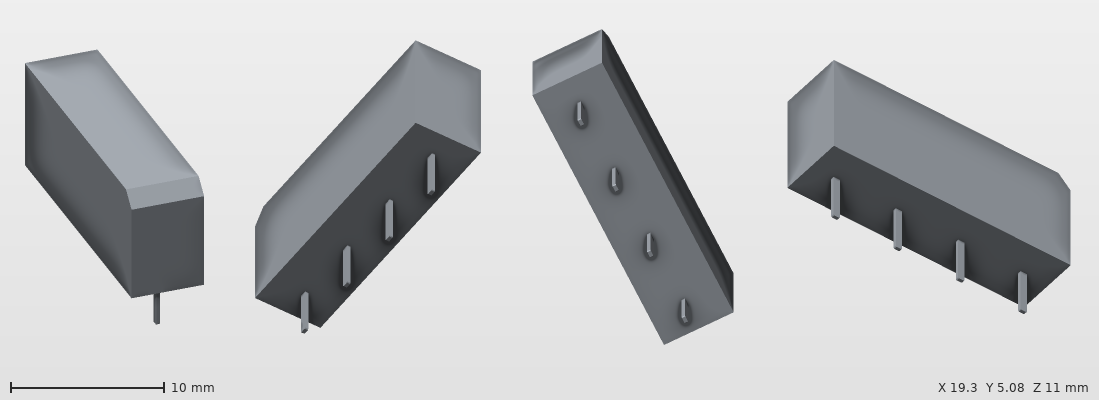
import cadquery as cq

body_length = 19.3
body_width = 5.08
body_height = 7.6
body_bevel = 1.0

overall_height = 10.98
pin_length = overall_height - body_height
pin_count = 4
pin_pitch = 5.08
pin_width = 0.51
pin_thickness = 0.25
pin_tip_chamfer = 0.06


def make_body():
    """Block standing on Z = 0, bevelled along the top edge at its +X end."""
    block = cq.Workplane("XY").box(
        body_length, body_width, body_height, centered=(True, True, False)
    )
    return block.faces(">X").edges(">Z").chamfer(body_bevel)


def make_pin(x_position):
    """Flat pin hanging from the body, with the tip edges at its two narrow sides chamfered."""
    pin = (
        cq.Workplane("XY")
        .center(x_position, 0)
        .rect(pin_width, pin_thickness)
        .extrude(-pin_length)
    )
    return pin.faces("<Z").edges("|Y").chamfer(pin_tip_chamfer)


result = make_body()
first_pin_x = -(pin_count - 1) * pin_pitch / 2
for pin_index in range(pin_count):
    result = result.union(make_pin(first_pin_x + pin_index * pin_pitch))